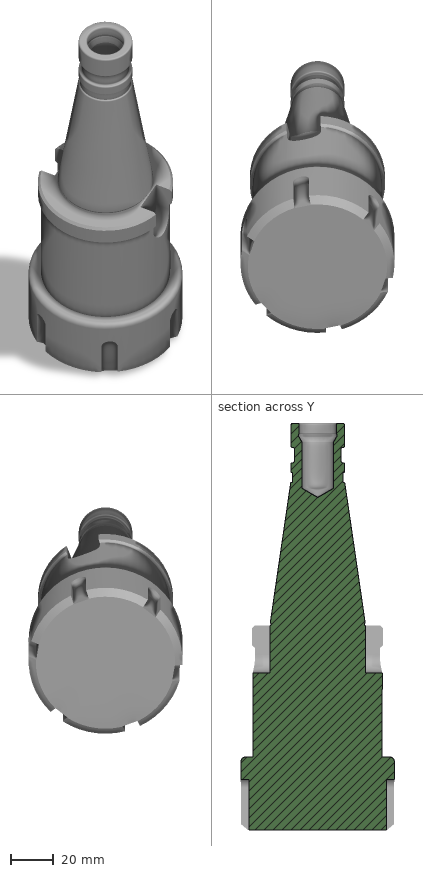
import cadquery as cq
import math

total_height = 190.4
nut_height = 34.5
flange_top = 95.5
flange_height = 10.3
taper_bottom = 97.1
taper_top = 162.8
collar_bottom = 167.2
collar_top = 172.0
head_bottom = 179.0

nut_radius = 36.0
body_radius = 30.3
flange_radius = 31.6
gauge_radius = 22.3
taper_foot_radius = 22.5
taper_ratio = 7 / 24
neck_radius = 12.0
head_radius = 12.5
groove_radius = 11.0
relief_radius = 21.9

nut_top_round = 2.3
nut_bottom_chamfer_height = 2.9
nut_bottom_chamfer_width = 3.5
flange_top_chamfer = 1.1
flange_bottom_chamfer = 1.1
relief_chamfer = 0.4
shank_round = 0.5
head_round = 0.8

drive_slot_count = 2
drive_slot_width = 16.2
drive_slot_bottom = 73.7
drive_slot_floor = 22.5

spanner_slot_count = 6
spanner_slot_width = 7.6
spanner_slot_top = 23.8
spanner_slot_depth = 3.8

bore_radius = 8.5
bore_mouth_round = 1.0
bore_depth = 5.0
undercut_radius = 9.0
undercut_width = 1.7
thread_radius = 7.2
countersink_depth = 9.0
thread_depth = 30.5
drill_point_angle = 120

match_tolerance = 0.002


def revolve_profile(points):
    return cq.Workplane("XZ").polyline(points).close().revolve(360, (0, 0, 0), (0, 1, 0))


def round_circles(solid, circles, round_radius):
    """Fillet the circular edges centred on Z, each given by its radius and height."""
    edges = []
    for edge in solid.edges("%CIRCLE").vals():
        for radius, height in circles:
            same_radius = abs(edge.radius() - radius) < match_tolerance
            same_height = abs(edge.Center().z - height) < match_tolerance
            if same_radius and same_height:
                edges.append(edge)
    return solid.newObject(edges).fillet(round_radius)


def make_nut():
    nut = revolve_profile([
        (0, 0),
        (nut_radius - nut_bottom_chamfer_width, 0),
        (nut_radius, nut_bottom_chamfer_height),
        (nut_radius, nut_height),
        (0, nut_height),
    ])
    return round_circles(nut, [(nut_radius, nut_height)], nut_top_round)


def make_arbor():
    """Body, drive flange, 7:24 taper and grooved shank end, turned about Z."""
    flange_bottom = flange_top - flange_height
    taper_top_radius = gauge_radius - (taper_top - taper_bottom) * taper_ratio / 2
    foot_height = taper_foot_radius - relief_radius
    arbor = revolve_profile([
        (0, 0),
        (body_radius, 0),
        (body_radius, flange_bottom),
        (flange_radius - flange_bottom_chamfer, flange_bottom),
        (flange_radius, flange_bottom + flange_bottom_chamfer),
        (flange_radius, flange_top - flange_top_chamfer),
        (flange_radius - flange_top_chamfer, flange_top),
        (taper_foot_radius, flange_top),
        (relief_radius, flange_top + foot_height),
        (relief_radius, taper_bottom - relief_chamfer),
        (gauge_radius, taper_bottom),
        (taper_top_radius, taper_top),
        (neck_radius, taper_top),
        (neck_radius, collar_bottom),
        (head_radius, collar_bottom),
        (head_radius, collar_top),
        (groove_radius, collar_top),
        (groove_radius, head_bottom),
        (head_radius, head_bottom),
        (head_radius, total_height),
        (0, total_height),
    ])
    shank_circles = [
        (taper_top_radius, taper_top),
        (head_radius, collar_top),
        (groove_radius, collar_top),
        (groove_radius, head_bottom),
        (head_radius, head_bottom),
    ]
    arbor = round_circles(arbor, shank_circles, shank_round)
    return round_circles(arbor, [(head_radius, total_height)], head_round)


def cut_bore(solid):
    """Counterbore, undercut, countersink and threaded hole with a conical drill point."""
    undercut_top = total_height - bore_depth
    undercut_bottom = undercut_top - undercut_width
    undercut_step = undercut_radius - bore_radius
    thread_bottom = total_height - thread_depth
    point_depth = thread_radius / math.tan(math.radians(drill_point_angle / 2))
    bore = revolve_profile([
        (0, total_height),
        (bore_radius, total_height),
        (bore_radius, undercut_top),
        (undercut_radius, undercut_top - undercut_step),
        (undercut_radius, undercut_bottom + undercut_step),
        (bore_radius, undercut_bottom),
        (thread_radius, total_height - countersink_depth),
        (thread_radius, thread_bottom),
        (0, thread_bottom - point_depth),
    ])
    return round_circles(solid.cut(bore), [(bore_radius, total_height)], bore_mouth_round)


def make_slot_cutter(width, floor, flat_end, round_center):
    """Radial cutter on +X from the floor outwards, square at one height and round at the other."""
    plane = cq.Workplane("YZ", origin=(floor, 0, 0))
    straight_height = abs(flat_end - round_center)
    straight_center = (flat_end + round_center) / 2
    straight = plane.center(0, straight_center).rect(width, straight_height).extrude(nut_radius)
    rounded = plane.center(0, round_center).circle(width / 2).extrude(nut_radius)
    return straight.union(rounded)


def cut_around(solid, cutter, count):
    """Cut evenly spaced copies of the cutter around Z, the first one on +X."""
    for index in range(count):
        solid = solid.cut(cutter.rotate((0, 0, 0), (0, 0, 1), 360 * index / count))
    return solid


drive_slot = make_slot_cutter(
    width=drive_slot_width,
    floor=drive_slot_floor,
    flat_end=flange_top,
    round_center=drive_slot_bottom + drive_slot_width / 2,
)
spanner_slot = make_slot_cutter(
    width=spanner_slot_width,
    floor=nut_radius - spanner_slot_depth,
    flat_end=0,
    round_center=spanner_slot_top - spanner_slot_width / 2,
)

holder = cut_bore(make_arbor()).union(make_nut())
holder = cut_around(holder, drive_slot, drive_slot_count)
result = cut_around(holder, spanner_slot, spanner_slot_count)